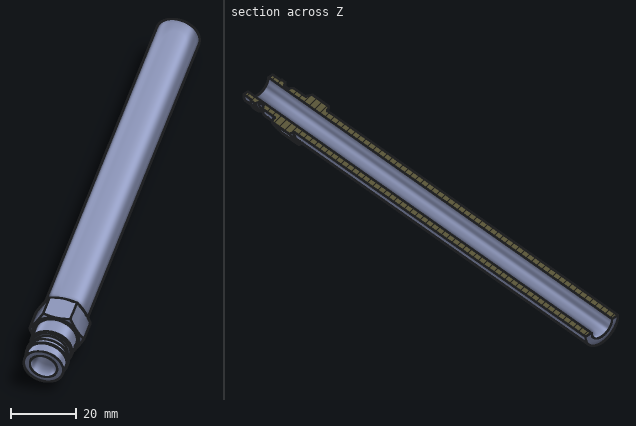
import cadquery as cq
import math

total_length = 150.0
tube_diameter = 14.0
bore_diameter = 8.7

hex_across_flats = 15.0
hex_start = 14.1
hex_length = 8.8
hex_face_diameter = 14.7
hex_chamfer_angle = 30.0

nose_diameter = 12.6
collar_diameter = 13.4
neck_diameter = 10.8
flange_start = 3.6
flange_end = 5.5
neck_start = 5.8
neck_end = 8.0
collar_start = 8.2
edge_chamfer = 0.5

nose_end = -total_length / 2
hex_end = hex_start + hex_length
hex_across_corners = hex_across_flats / math.cos(math.radians(30))


def revolve_profile(points):
    """Turn a closed (radius, distance from nose end) outline about the Y axis."""
    placed = [(radius, nose_end + station) for radius, station in points]
    return cq.Workplane("XY").polyline(placed).close().revolve(360, (0, 0), (0, 1))


def make_turned_body():
    nose = nose_diameter / 2
    collar = collar_diameter / 2
    neck = neck_diameter / 2
    tube = tube_diameter / 2
    chamfered = collar - edge_chamfer
    return revolve_profile([
        (0, 0),
        (nose, 0),
        (nose, flange_start),
        (collar, flange_start),
        (collar, flange_end - edge_chamfer),
        (chamfered, flange_end),
        (neck, neck_start),
        (neck, neck_end),
        (chamfered, collar_start),
        (collar, collar_start + edge_chamfer),
        (collar, hex_start),
        (tube, hex_end),
        (tube, total_length),
        (0, total_length),
    ])


def make_hexagon():
    prism = (
        cq.Workplane("XZ", origin=(0, nose_end + hex_end, 0))
        .polygon(6, hex_across_corners)
        .extrude(hex_length)
    )
    face_radius = hex_face_diameter / 2
    corner_radius = hex_across_corners / 2
    chamfer_length = (corner_radius - face_radius) * math.tan(math.radians(hex_chamfer_angle))
    envelope = revolve_profile([
        (0, hex_start),
        (face_radius, hex_start),
        (corner_radius, hex_start + chamfer_length),
        (corner_radius, hex_end - chamfer_length),
        (face_radius, hex_end),
        (0, hex_end),
    ])
    return prism.intersect(envelope)


def make_bore():
    return (
        cq.Workplane("XZ", origin=(0, nose_end + total_length, 0))
        .circle(bore_diameter / 2)
        .extrude(total_length)
    )


result = make_turned_body().union(make_hexagon()).cut(make_bore())